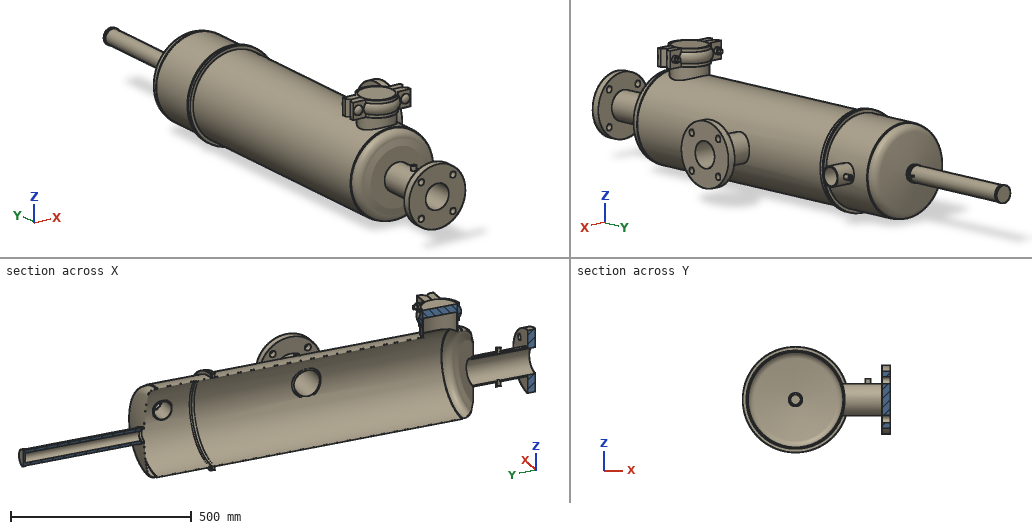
import cadquery as cq
import math


overall_length = 1568.0
overall_width = 410.0
overall_height = 364.0

shell_radius = 136.0
wall = 3.0
head_step = 2.0
head_radius = shell_radius - head_step
head_skirt = 6.0
lip_diameter = 293.0
lip_radius = lip_diameter / 2
cover_lip_thickness = 5.0
vessel_lip_thickness = 10.0
joint_y = 990.0

bottom_shell_y = 225.0
bottom_knuckle_radius = 24.0
bottom_flat_radius = 91.0
bottom_y = 190.0

top_shell_y = 1159.0
top_knuckle_radius = 24.0
top_y = 1200.0

pipe_radius = 90.0 / 2
pipe_bore_radius = 39.0
flange_radius = 191.0 / 2
flange_thickness = 24.0
flange_bolt_circle_radius = 152.0 / 2
flange_hole_radius = 10.0
flange_hole_count = 4
outlet_y = 637.0
outlet_face_x = overall_width - lip_radius

port_radius = 8.0
port_bore_radius = port_radius / 2
port_end_height = 58.0
inlet_port_y = 113.0
outlet_port_x = 200.0

drain_radius = 30.0
drain_bore_radius = 27.0
drain_y = 1078.0
drain_end_x = 198.0
drain_port_x = 168.0
drain_port_end_height = 49.0

tube_radius = 49.0 / 2
tube_bore_radius = 14.0
cover_neck_bore_radius = 19.0
tube_start_y = 1206.0
tube_collar_radius = 52.0 / 2
tube_collar_thickness = 8.0
tube_pin_y = 1228.0
tube_pin_radius = 2.4
tube_pin_head_radius = 3.9
tube_pin_head_x = 36.0
tube_pin_end_x = 45.0

handhole_y = 292.0
handhole_radius = 111.0 / 2
handhole_bore_radius = 50.0
cap_radius = 53.0
clamp_top_z = overall_height - lip_radius
clamp_height = 52.0
clamp_middle_z = clamp_top_z - clamp_height / 2
clamp_rim_radius = 60.0
clamp_bulge_radius = 66.0
clamp_bulge_height = 33.0

ear_reach = 97.0
ear_half_width = 25.0
ear_notch_half_width = 13.0
ear_notch_depth = 11.0

bolt_x = 80.0
bolt_shank_radius = 5.5
bolt_head_radius = 14.9
bolt_head_height = 8.6
bolt_end_height = 19.0
nut_radius = 10.2
nut_height = 10.0


def cylinder(start, direction, radius, length):
    """Solid cylinder that starts at a point and runs along a direction."""
    return cq.Workplane(cq.Solid.makeCylinder(radius, length, cq.Vector(*start), cq.Vector(*direction)))


def flange(face_center, inward):
    """Round flange with its face at a point, its body running inward, and holes off the main axes."""
    plane = cq.Plane(origin=face_center, xDir=(0, 0, 1), normal=inward)
    return (
        cq.Workplane(plane)
        .circle(flange_radius)
        .extrude(flange_thickness)
        .copyWorkplane(cq.Workplane(plane))
        .polarArray(flange_bolt_circle_radius, 180 / flange_hole_count, 360, flange_hole_count)
        .circle(flange_hole_radius)
        .cutThruAll()
    )


def polar_point(center, radius, angle):
    """Point on a circle in the XY plane, at an angle in radians from +X."""
    return (center[0] + radius * math.cos(angle), center[1] + radius * math.sin(angle))


def vessel_form(inset):
    """Solid of revolution of the vessel's shell and bottom head, moved inward by an inset."""
    knuckle_center = (head_radius - bottom_knuckle_radius, bottom_shell_y - head_skirt)
    knuckle_radius = bottom_knuckle_radius - inset
    return (
        cq.Workplane("XY")
        .moveTo(0, joint_y)
        .lineTo(shell_radius - inset, joint_y)
        .lineTo(shell_radius - inset, bottom_shell_y)
        .lineTo(head_radius - inset, bottom_shell_y)
        .lineTo(*polar_point(knuckle_center, knuckle_radius, 0))
        .threePointArc(
            polar_point(knuckle_center, knuckle_radius, -math.pi / 4),
            polar_point(knuckle_center, knuckle_radius, -math.pi / 2),
        )
        .lineTo(bottom_flat_radius, bottom_y + inset)
        .lineTo(0, bottom_y + inset)
        .close()
        .revolve(360, (0, 0, 0), (0, 1, 0))
    )


def cover_form(inset):
    """Solid of revolution of the cover's shell and dished head, moved inward by an inset."""
    knuckle_center = (head_radius - top_knuckle_radius, top_shell_y + head_skirt)
    knuckle_radius = top_knuckle_radius - inset
    head_rise = top_y - knuckle_center[1]
    full_crown_radius = (knuckle_center[0] ** 2 + head_rise ** 2 - top_knuckle_radius ** 2) / (
        2 * (head_rise - top_knuckle_radius)
    )
    crown_center = (0, top_y - full_crown_radius)
    crown_radius = full_crown_radius - inset
    blend_angle = math.atan2(knuckle_center[1] - crown_center[1], knuckle_center[0])
    return (
        cq.Workplane("XY")
        .moveTo(0, joint_y)
        .lineTo(shell_radius - inset, joint_y)
        .lineTo(shell_radius - inset, top_shell_y)
        .lineTo(head_radius - inset, top_shell_y)
        .lineTo(*polar_point(knuckle_center, knuckle_radius, 0))
        .threePointArc(
            polar_point(knuckle_center, knuckle_radius, blend_angle / 2),
            polar_point(knuckle_center, knuckle_radius, blend_angle),
        )
        .threePointArc(
            polar_point(crown_center, crown_radius, (blend_angle + math.pi / 2) / 2),
            polar_point(crown_center, crown_radius, math.pi / 2),
        )
        .close()
        .revolve(360, (0, 0, 0), (0, 1, 0))
    )


def make_vessel():
    """Shell with bottom head, lip, inlet and outlet nozzles, ports and handhole neck."""
    head_inside_y = bottom_y + 2 * wall
    neck_top_z = clamp_middle_z

    body = vessel_form(0)
    body = body.union(cylinder((0, joint_y, 0), (0, -1, 0), lip_radius, vessel_lip_thickness))
    body = body.union(cylinder((0, 0, 0), (0, 1, 0), pipe_radius, head_inside_y))
    body = body.union(flange((0, 0, 0), (0, 1, 0)))
    body = body.union(cylinder((0, outlet_y, 0), (1, 0, 0), pipe_radius, outlet_face_x))
    body = body.union(flange((outlet_face_x, outlet_y, 0), (-1, 0, 0)))
    body = body.union(cylinder((0, handhole_y, 0), (0, 0, 1), handhole_radius, neck_top_z))

    ports = [
        ((0, inlet_port_y, 0), (0, 0, 1)),
        ((0, inlet_port_y, 0), (0, 0, -1)),
        ((outlet_port_x, outlet_y, 0), (0, 0, 1)),
    ]
    for center, direction in ports:
        body = body.union(cylinder(center, direction, port_radius, port_end_height))
    for center, direction in ports:
        body = body.cut(cylinder(center, direction, port_bore_radius, port_end_height))

    body = body.cut(vessel_form(wall))
    body = body.cut(cylinder((0, 0, 0), (0, 1, 0), pipe_bore_radius, head_inside_y))
    body = body.cut(cylinder((0, outlet_y, 0), (1, 0, 0), pipe_bore_radius, outlet_face_x))
    return body.cut(cylinder((0, handhole_y, 0), (0, 0, 1), handhole_bore_radius, neck_top_z))


def make_cover():
    """Upper shell with dished head, lip, drain pipe with its port, and a neck for the tube."""
    port_start = (drain_port_x, drain_y, 0)
    neck_start = (0, top_shell_y, 0)
    neck_length = tube_start_y - top_shell_y

    body = cover_form(0)
    body = body.union(cylinder((0, joint_y, 0), (0, 1, 0), lip_radius, cover_lip_thickness))
    body = body.union(cylinder((0, drain_y, 0), (1, 0, 0), drain_radius, drain_end_x))
    body = body.union(cylinder(port_start, (0, 1, 0), port_radius, drain_port_end_height))
    body = body.union(cylinder(neck_start, (0, 1, 0), tube_radius, neck_length))

    body = body.cut(cover_form(wall))
    body = body.cut(cylinder((0, drain_y, 0), (1, 0, 0), drain_bore_radius, drain_end_x))
    body = body.cut(cylinder(port_start, (0, 1, 0), port_bore_radius, drain_port_end_height))
    return body.cut(cylinder(neck_start, (0, 1, 0), cover_neck_bore_radius, neck_length))


def make_tube():
    """Tube with a collar at each end, a closed far end and a small headed pin on its side."""
    tube_length = overall_length - tube_start_y
    end_collar_y = overall_length - tube_collar_thickness
    pin_start_x = (tube_radius + tube_bore_radius) / 2

    body = cylinder((0, tube_start_y, 0), (0, 1, 0), tube_radius, tube_length)
    for collar_y in (tube_start_y, end_collar_y):
        body = body.union(cylinder((0, collar_y, 0), (0, 1, 0), tube_collar_radius, tube_collar_thickness))
    for start_x, radius in ((pin_start_x, tube_pin_radius), (tube_pin_head_x, tube_pin_head_radius)):
        body = body.union(cylinder((start_x, tube_pin_y, 0), (1, 0, 0), radius, tube_pin_end_x - start_x))

    bore_length = end_collar_y - tube_start_y
    return body.cut(cylinder((0, tube_start_y, 0), (0, 1, 0), tube_bore_radius, bore_length))


def make_cap():
    """Disc that closes the handhole, flush with the top of the clamp."""
    return cylinder((0, handhole_y, clamp_middle_z), (0, 0, 1), cap_radius, clamp_height / 2)


def make_clamp_half(side):
    """Half of the clamp on one side of the handhole, +1 toward +Y and -1 toward -Y."""
    bulge_low = -clamp_bulge_height / 2
    bulge_high = clamp_bulge_height / 2
    low = -clamp_height / 2
    high = clamp_height / 2
    ring = (
        cq.Workplane("XZ")
        .moveTo(0, low)
        .lineTo(clamp_rim_radius, low)
        .lineTo(clamp_rim_radius, bulge_low)
        .threePointArc((clamp_bulge_radius, 0), (clamp_rim_radius, bulge_high))
        .lineTo(clamp_rim_radius, high)
        .lineTo(0, high)
        .close()
        .revolve(360, (0, 0, 0), (0, 1, 0))
    )
    ears = (
        cq.Workplane("XY", origin=(0, 0, low))
        .polyline([
            (-ear_reach + ear_notch_depth, 0),
            (-ear_reach, side * ear_notch_half_width),
            (-ear_reach, side * ear_half_width),
            (ear_reach, side * ear_half_width),
            (ear_reach, side * ear_notch_half_width),
            (ear_reach - ear_notch_depth, 0),
        ])
        .close()
        .extrude(clamp_height)
    )
    half_space = (
        cq.Workplane("XY")
        .box(2 * ear_reach, clamp_bulge_radius, clamp_height)
        .translate((0, side * clamp_bulge_radius / 2, 0))
    )
    half = ring.union(ears).intersect(half_space)
    half = half.cut(cylinder((0, 0, low), (0, 0, 1), handhole_radius, clamp_height / 2))
    half = half.cut(cylinder((0, 0, 0), (0, 0, 1), cap_radius, clamp_height / 2))
    for x in (-bolt_x, bolt_x):
        half = half.cut(cylinder((x, -ear_half_width, 0), (0, 1, 0), bolt_shank_radius, 2 * ear_half_width))
    return half.translate((0, handhole_y, clamp_middle_z))


def make_bolt(x):
    """Clamp bolt along Y with a domed head on the -Y side."""
    shank_end = ear_half_width + bolt_end_height
    dome_share = math.sqrt(0.5)
    bolt = (
        cq.Workplane("XY")
        .moveTo(0, -ear_half_width - bolt_head_height)
        .threePointArc(
            (bolt_head_radius * dome_share, -ear_half_width - bolt_head_height * dome_share),
            (bolt_head_radius, -ear_half_width),
        )
        .lineTo(bolt_shank_radius, -ear_half_width)
        .lineTo(bolt_shank_radius, shank_end)
        .lineTo(0, shank_end)
        .close()
        .revolve(360, (0, 0, 0), (0, 1, 0))
    )
    return bolt.translate((x, handhole_y, clamp_middle_z))


def make_nut(x):
    """Round nut on the +Y side of the clamp."""
    start = (x, handhole_y + ear_half_width, clamp_middle_z)
    nut = cylinder(start, (0, 1, 0), nut_radius, nut_height)
    return nut.cut(cylinder(start, (0, 1, 0), bolt_shank_radius, nut_height))


vessel = make_vessel()
cover = make_cover()
tube = make_tube()
cap = make_cap()
clamp_halves = [make_clamp_half(side) for side in (-1, 1)]
bolts = [make_bolt(x) for x in (-bolt_x, bolt_x)]
nuts = [make_nut(x) for x in (-bolt_x, bolt_x)]

bodies = [vessel, cover, tube, cap, *clamp_halves, *bolts, *nuts]
result = cq.Compound.makeCompound([body.solids().val() for body in bodies])